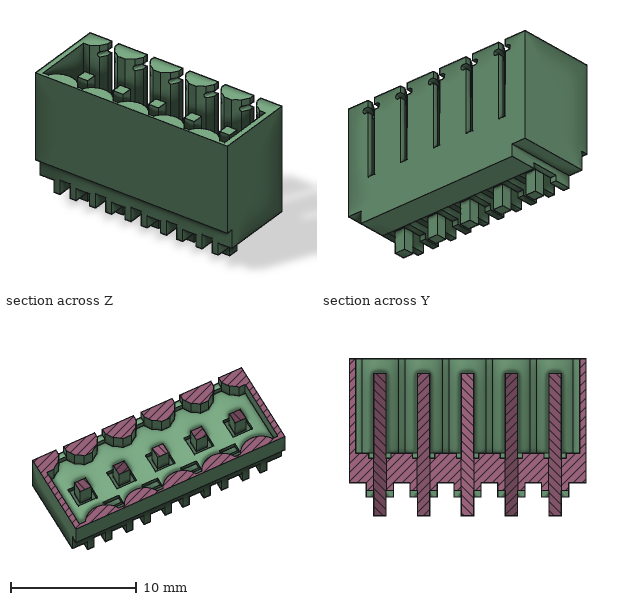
import cadquery as cq
import math

LENGTH = 18.9
DEPTH = 7.45
TOP_Z = 12.55
BASE_Z = 2.63
LIP_Z = 4.35
LIP_OVERHANG = 0.6

POLE_COUNT = 5
PITCH = 3.5
PIN_WIDTH = 1.0
PIN_Y = 3.5
PIN_TOP_Z = 11.35
POLE_CENTRE_X = 0.02
PIN_FRONT_Y = PIN_Y - PIN_WIDTH / 2
POLE_XS = [POLE_CENTRE_X + (i - (POLE_COUNT - 1) / 2) * PITCH for i in range(POLE_COUNT)]
BETWEEN_POLE_XS = [x + PITCH / 2 for x in POLE_XS[:-1]]

FOOT_Z = 1.5
FOOT_END_INSET = 1.36
CHANNEL_TOP_Z = 2.0
CHANNEL_FRONT_Y = 2.17
CHANNEL_REAR_Y = 4.82
PIN_SLOT_TOP_Z = 2.85
FOOT_GAP_WIDTH = 1.3

FLOOR_Z = 5.0
END_WALL = 0.51
CAVITY_FRONT_Y = 0.23
CORNER_FRONT_Y = 0.34
CAVITY_REAR_Y = DEPTH - 1.59

RIB_HALF_ROOT = 1.5
RIB_HALF_WIDTH = 1.38
RIB_SHOULDER_Y = 0.45
RIB_CREST_Y = 1.15

GAP_RADIUS = 1.89
GAP_CENTRE_Y = 4.55
THROAT_HALF_WIDTH = 0.74
REAR_SLOT_WIDTH = 0.68
REAR_SLOT_DEPTH = 0.51
REAR_SLOT_SILL_Z = 5.5

WINDOW_WIDTH = 1.74
WINDOW_HEIGHT = 0.5
WINDOW_TOP_GAP = 0.6

RECESS_DEPTH = 0.4
PIN_RECESS_WIDTH = 1.75
KEY_RECESS_WIDTH = 1.42
KEY_RECESS_FRONT_Y = 1.15
KEY_RECESS_REAR_Y = 2.0


def block(x_range, y_range, z_range):
    """Axis-aligned box between the given limits."""
    (x0, x1), (y0, y1), (z0, z1) = x_range, y_range, z_range
    return cq.Workplane("XY").box(x1 - x0, y1 - y0, z1 - z0, centered=False).translate((x0, y0, z0))


def around(centre, width):
    """Limits of a span of the given width about a centre."""
    return (centre - width / 2, centre + width / 2)


def make_shell():
    """Main block with its front overhang and the foot block below it."""
    shell = block(around(0, LENGTH), (0, DEPTH), (BASE_Z, TOP_Z))
    shell = shell.cut(block(around(0, LENGTH), (0, LIP_OVERHANG), (BASE_Z, LIP_Z)))
    foot_length = LENGTH - 2 * FOOT_END_INSET
    return shell.union(block(around(POLE_CENTRE_X, foot_length), (LIP_OVERHANG, DEPTH), (FOOT_Z, BASE_Z)))


def cut_feet(body):
    """Lengthwise channel, and the slots that split the front foot into teeth."""
    channel_y = (CHANNEL_FRONT_Y, CHANNEL_REAR_Y)
    body = body.cut(block(around(0, LENGTH), channel_y, (FOOT_Z, CHANNEL_TOP_Z)))
    for x in BETWEEN_POLE_XS:
        body = body.cut(block(around(x, FOOT_GAP_WIDTH), (LIP_OVERHANG, CHANNEL_REAR_Y), (FOOT_Z, BASE_Z)))
    for x in POLE_XS:
        body = body.cut(block(around(x, PIN_WIDTH), (LIP_OVERHANG, PIN_FRONT_Y), (FOOT_Z, PIN_SLOT_TOP_Z)))
    return body


def front_rib(x):
    """Arched rib on the inside of the front wall."""
    return (
        cq.Workplane("XY", origin=(x, 0, FLOOR_Z))
        .moveTo(-RIB_HALF_ROOT, CAVITY_FRONT_Y)
        .lineTo(-RIB_HALF_WIDTH, RIB_SHOULDER_Y)
        .threePointArc((0, RIB_CREST_Y), (RIB_HALF_WIDTH, RIB_SHOULDER_Y))
        .lineTo(RIB_HALF_ROOT, CAVITY_FRONT_Y)
        .close()
        .extrude(TOP_Z - FLOOR_Z)
    )


def rear_gap(x):
    """Opening between two rear bosses, from its arc mouth to its throat."""
    slot_front_y = DEPTH - REAR_SLOT_DEPTH
    throat_y = GAP_CENTRE_Y + math.sqrt(GAP_RADIUS**2 - THROAT_HALF_WIDTH**2)
    mouth_half_width = math.sqrt(GAP_RADIUS**2 - (CAVITY_REAR_Y - GAP_CENTRE_Y) ** 2)
    mouth_angle = math.atan2(mouth_half_width, CAVITY_REAR_Y - GAP_CENTRE_Y)
    throat_angle = math.asin(THROAT_HALF_WIDTH / GAP_RADIUS)
    mid_angle = (mouth_angle + throat_angle) / 2
    mid_x = GAP_RADIUS * math.sin(mid_angle)
    mid_y = GAP_CENTRE_Y + GAP_RADIUS * math.cos(mid_angle)
    return (
        cq.Workplane("XY", origin=(x, 0, FLOOR_Z))
        .moveTo(-mouth_half_width, CAVITY_REAR_Y)
        .threePointArc((-mid_x, mid_y), (-THROAT_HALF_WIDTH, throat_y))
        .lineTo(-REAR_SLOT_WIDTH / 2, slot_front_y)
        .lineTo(REAR_SLOT_WIDTH / 2, slot_front_y)
        .lineTo(THROAT_HALF_WIDTH, throat_y)
        .threePointArc((mid_x, mid_y), (mouth_half_width, CAVITY_REAR_Y))
        .close()
        .extrude(TOP_Z - FLOOR_Z)
    )


def make_cavity():
    """Open space above the floor, outlined by the front ribs and rear bosses."""
    half_length = LENGTH / 2 - END_WALL
    height = (FLOOR_Z, TOP_Z)
    cavity = block((-half_length, half_length), (CAVITY_FRONT_Y, CAVITY_REAR_Y), height)
    corner_width = half_length - (POLE_COUNT - 1) / 2 * PITCH - RIB_HALF_WIDTH
    corner_y = (CAVITY_FRONT_Y, CORNER_FRONT_Y)
    cavity = cavity.cut(block((-half_length, -half_length + corner_width), corner_y, height))
    cavity = cavity.cut(block((half_length - corner_width, half_length), corner_y, height))
    for x in POLE_XS:
        cavity = cavity.cut(front_rib(x)).union(rear_gap(x))
    return cavity


def rear_window(x):
    """Rear slot down to its sill, crossed by a round-ended window."""
    slot = block(around(x, REAR_SLOT_WIDTH), (DEPTH - REAR_SLOT_DEPTH, DEPTH), (REAR_SLOT_SILL_Z, TOP_Z))
    window_z = TOP_Z - WINDOW_TOP_GAP - WINDOW_HEIGHT / 2
    window = (
        cq.Workplane("XZ", origin=(x, DEPTH, window_z))
        .slot2D(WINDOW_WIDTH, WINDOW_HEIGHT)
        .extrude(DEPTH - CAVITY_REAR_Y)
    )
    return slot.union(window)


def key_recess(x):
    """Floor recess whose front side slopes down at 45 degrees."""
    bottom_z = FLOOR_Z - RECESS_DEPTH
    return (
        cq.Workplane("YZ", origin=(x - KEY_RECESS_WIDTH / 2, 0, 0))
        .moveTo(KEY_RECESS_FRONT_Y, FLOOR_Z)
        .lineTo(KEY_RECESS_FRONT_Y + RECESS_DEPTH, bottom_z)
        .lineTo(KEY_RECESS_REAR_Y, bottom_z)
        .lineTo(KEY_RECESS_REAR_Y, FLOOR_Z)
        .close()
        .extrude(KEY_RECESS_WIDTH)
    )


def pin_recess(x):
    """Square floor recess around a pin."""
    return block(
        around(x, PIN_RECESS_WIDTH), around(PIN_Y, PIN_RECESS_WIDTH), (FLOOR_Z - RECESS_DEPTH, FLOOR_Z)
    )


def make_pin(x):
    """Straight square contact pin."""
    return block(around(x, PIN_WIDTH), around(PIN_Y, PIN_WIDTH), (0, PIN_TOP_Z))


def make_housing():
    """Header housing with the feet, cavity, rear windows and pin holes."""
    body = cut_feet(make_shell()).cut(make_cavity())
    for x in BETWEEN_POLE_XS:
        body = body.cut(key_recess(x))
    for x in POLE_XS:
        body = body.cut(rear_window(x)).cut(pin_recess(x)).cut(make_pin(x))
    return body


housing = make_housing()
pins = [make_pin(x) for x in POLE_XS]

result = cq.Compound.makeCompound([housing.solids().val(), *[pin.val() for pin in pins]])